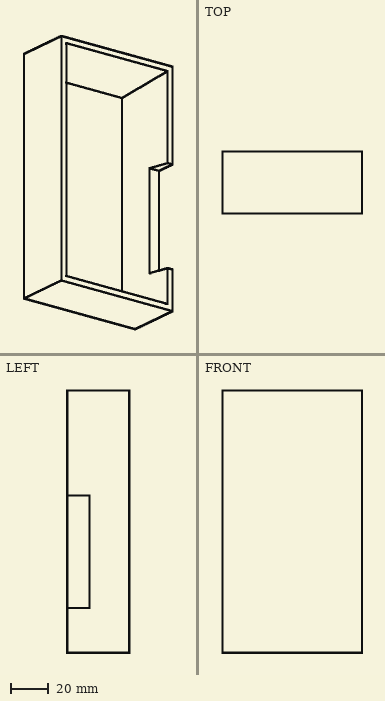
import cadquery as cq

width = 74.0
depth = 33.0
height = 139.0

rim_thickness = 3.3
floor_thickness = 3.3
cavity_draft = 15.0

notch_depth = 11.8
notch_height = 59.6
notch_bottom = 23.8


def make_cavity():
    """Tapered pocket sunk from the open side toward the floor."""
    rim_plane = cq.Plane(origin=(0, depth / 2, 0), xDir=(1, 0, 0), normal=(0, -1, 0))
    return (
        cq.Workplane(rim_plane)
        .rect(width - 2 * rim_thickness, height - 2 * rim_thickness)
        .extrude(depth - floor_thickness, taper=cavity_draft)
    )


def make_notch():
    """Block that opens the -X wall and stops before the opposite wall."""
    return (
        cq.Workplane("XY")
        .box(width / 2, notch_depth, notch_height, centered=False)
        .translate((-width / 2, depth / 2 - notch_depth, notch_bottom - height / 2))
    )


body = cq.Workplane("XY").box(width, depth, height)
result = body.cut(make_cavity()).cut(make_notch())